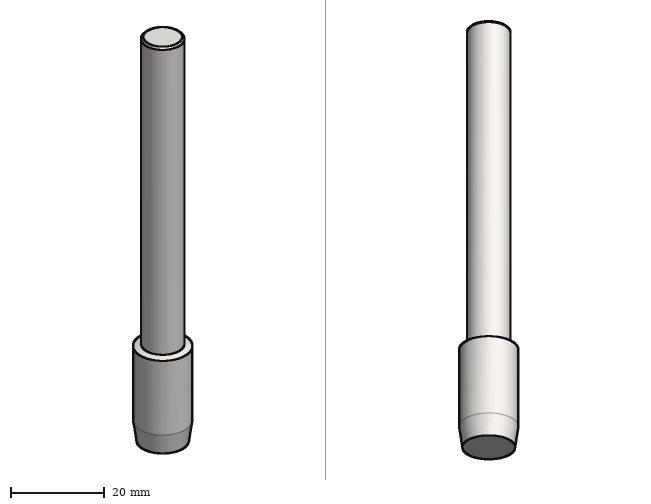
import cadquery as cq

overall_length = 100.0

head_diameter = 12.7
lead_tip_diameter = 11.3
lead_length = 5.0
head_length = 23.9
shoulder_height = 0.5

shank_diameter = 9.3
shank_chamfer = 0.5

head_radius = head_diameter / 2
lead_tip_radius = lead_tip_diameter / 2
shank_radius = shank_diameter / 2
shank_length = overall_length - head_length


def make_head():
    """Solid head, revolved about Z with its tip at Z = 0."""
    half_profile = (
        cq.Workplane("XZ")
        .lineTo(lead_tip_radius, 0)
        .lineTo(head_radius, lead_length)
        .lineTo(head_radius, head_length - shoulder_height)
        .lineTo(shank_radius, head_length)
        .lineTo(0, head_length)
        .close()
    )
    return half_profile.revolve(360, (0, 0, 0), (0, 1, 0))


def make_shank():
    """Round shank standing on the head, with a chamfered free end."""
    blank = cq.Workplane("XY").workplane(offset=head_length).circle(shank_radius).extrude(shank_length)
    return blank.faces(">Z").chamfer(shank_chamfer)


head = make_head()
shank = make_shank()

result = cq.Compound.makeCompound([head.val(), shank.val()])